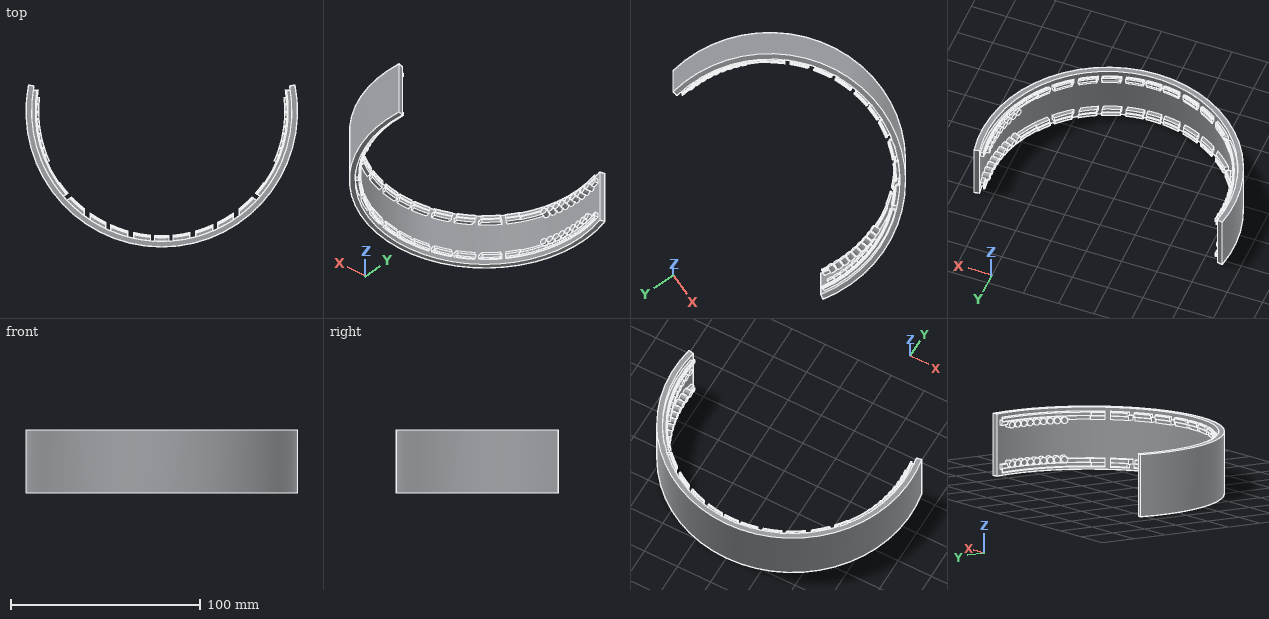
import cadquery as cq
import math

outer_radius = 71.7
wall = 3.0
height = 33.4
end_angle = 11.2
inner_radius = outer_radius - wall

flange_bottom = 3.6
flange_top = 6.2
lip_edge_z = 1.7
bevel_height = 0.6
lip_root_top = 4.2
lip_thickness = 0.7
lip_edge_thickness = 0.3
arm_rail_depth = 2.6
arm_rail_end_y = 11.2
front_rail_depth = 3.0
front_rail_end_y = -37.5

front_slots = [(4.9, 1.9), (16.3, 3.0), (28.2, 2.6), (39.3, 3.0)]
slanted_slot_x = 50.5
slanted_slot_y = -45.6
slanted_slot_width = 2.7
slanted_slot_angle = 33.0
slot_length = 17.2

tooth_radius = 1.7
tooth_depth = 3.9
tooth_count = 9
tooth_pitch_angle = 3.4
first_tooth_angle = 4.9
tooth_z = flange_top

overlap = 0.7


def below(y):
    """Block that fills everything on the -Y side of the given Y."""
    size = 2 * outer_radius
    return cq.Workplane("XY").box(size, size, size).translate((0, y - size / 2, 0))


def point(radius, angle):
    """Point at a radius and an angle in degrees, counted from +X."""
    return radius * math.cos(math.radians(angle)), radius * math.sin(math.radians(angle))


def band():
    return (
        cq.Workplane("XY")
        .moveTo(*point(outer_radius, 180 - end_angle))
        .threePointArc((0, -outer_radius), point(outer_radius, end_angle))
        .lineTo(*point(inner_radius, end_angle))
        .threePointArc((0, -inner_radius), point(inner_radius, 180 - end_angle))
        .close()
        .extrude(height)
    )


def hooked_rail(depth, end_y):
    """Flange with a hooked lip of the given depth, kept on the -Y side of end_y."""
    root = inner_radius + overlap
    tip = inner_radius - depth
    lip_back = tip + lip_thickness
    section = [
        (root, flange_bottom),
        (lip_back, flange_bottom),
        (lip_back, lip_edge_z),
        (lip_back - lip_edge_thickness, lip_edge_z),
        (tip, lip_edge_z + bevel_height),
        (tip, lip_root_top),
        (lip_back, lip_root_top),
        (lip_back, flange_top),
        (root, flange_top),
    ]
    rail = cq.Workplane("XZ").polyline(section).close().revolve(360, (0, 0, 0), (0, 1, 0))
    return rail.intersect(below(end_y))


def lower_rail():
    arms = hooked_rail(arm_rail_depth, arm_rail_end_y)
    front = hooked_rail(front_rail_depth, front_rail_end_y)
    return arms.union(front)


def slots():
    straight = cq.Workplane("XY")
    for x, width in front_slots:
        slot = cq.Workplane("XY").box(width, inner_radius, height)
        straight = straight.union(slot.translate((x, -inner_radius, 0)))
    slanted = (
        cq.Workplane("XY")
        .box(slot_length, slanted_slot_width, height)
        .rotate((0, 0, 0), (0, 0, 1), -slanted_slot_angle)
        .translate((slanted_slot_x, slanted_slot_y, 0))
    )
    right_half = straight.union(slanted)
    return right_half.union(right_half.mirror("YZ"))


def teeth():
    length = tooth_depth + overlap
    tooth = (
        cq.Workplane("YZ")
        .workplane(offset=inner_radius - tooth_depth)
        .center(0, tooth_z)
        .circle(tooth_radius)
        .extrude(length)
    )
    row = cq.Workplane("XY")
    for index in range(tooth_count):
        angle = first_tooth_angle - index * tooth_pitch_angle
        row = row.union(tooth.rotate((0, 0, 0), (0, 0, 1), angle))
    return row.union(row.mirror("YZ"))


lower = lower_rail().cut(slots()).union(teeth())
upper = lower.mirror("XY").translate((0, 0, height))
result = band().union(lower).union(upper)